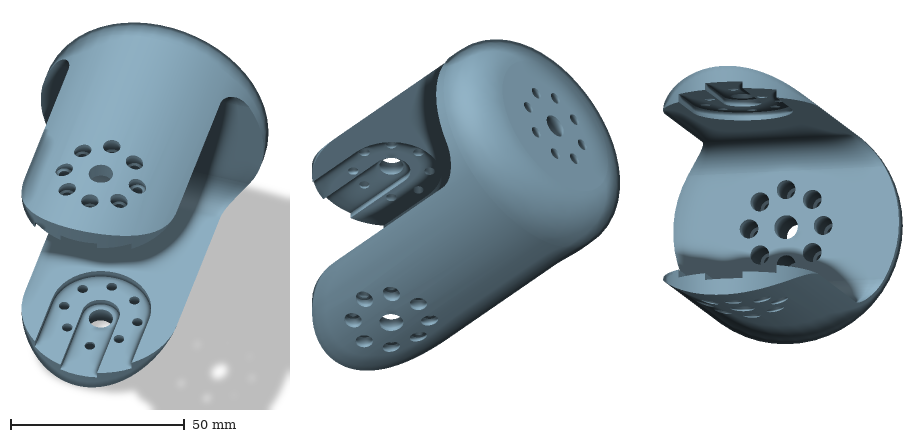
import cadquery as cq
import math

length = 89.3
diameter = 67.0
radius = diameter / 2
dome_fillet = 12.0

gap = 49.0
base_thickness = 15.0
inner_fillet = 8.0

arm_half_width = math.sqrt(radius**2 - (gap / 2) ** 2)
pivot_y = arm_half_width
base_inner_y = length - base_thickness

horn_pocket_diameter = 29.0
horn_pocket_depth = 2.3
hub_pocket_diameter = 11.0
hub_pocket_depth = 2.0
horn_pocket_floor = gap / 2 + horn_pocket_depth
hub_pocket_floor = horn_pocket_floor + hub_pocket_depth

centre_hole_diameter = 7.0
bolt_count = 8
bolt_circle_radius = 11.0

arm_bolt_diameter = 3.0
arm_counterbore_diameter = 5.0
arm_bolt_seat_thickness = 2.7
arm_counterbore_floor = horn_pocket_floor + arm_bolt_seat_thickness
base_bolt_diameter = 3.5
base_counterbore_diameter = 5.5
base_bolt_seat_thickness = 3.0
base_counterbore_depth = base_thickness - base_bolt_seat_thickness


def bolt_positions():
    """Points of the bolt circle around the local origin."""
    step = 2 * math.pi / bolt_count
    return [
        (bolt_circle_radius * math.cos(i * step), bolt_circle_radius * math.sin(i * step))
        for i in range(bolt_count)
    ]


def body():
    """Domed solid cylinder with its axis along Y."""
    cylinder = cq.Workplane("XZ", origin=(0, length, 0)).circle(radius).extrude(length)
    return cylinder.faces(">Y").edges().fillet(dome_fillet)


def arm_gap():
    """Block that separates the arms, rounded where they meet the base."""
    block = cq.Workplane("XY").box(diameter, base_inner_y, gap).translate((0, base_inner_y / 2, 0))
    return block.faces(">Y").edges("|X").fillet(inner_fillet)


def arm_outline():
    """Envelope that rounds the arm ends about the pivot axis."""
    straight = cq.Workplane("XY").box(diameter, length - pivot_y, diameter)
    straight = straight.translate((0, (length + pivot_y) / 2, 0))
    rounded_end = cq.Workplane("XY", origin=(0, pivot_y, -radius)).circle(arm_half_width).extrude(diameter)
    return straight.union(rounded_end)


def open_pocket(pocket_diameter, floor_height):
    """Round-ended cutter spanning the gap, with its ends at +/- floor_height."""
    round_end = (
        cq.Workplane("XY", origin=(0, pivot_y, -floor_height))
        .circle(pocket_diameter / 2)
        .extrude(2 * floor_height)
    )
    channel = cq.Workplane("XY").box(pocket_diameter, pivot_y, 2 * floor_height)
    return round_end.union(channel.translate((0, pivot_y / 2, 0)))


def arm_holes():
    """Pivot hole and counterbored bolt holes through both arms."""
    bottom = cq.Workplane("XY", origin=(0, pivot_y, -radius))
    holes = bottom.circle(centre_hole_diameter / 2).extrude(diameter)
    holes = holes.union(bottom.pushPoints(bolt_positions()).circle(arm_bolt_diameter / 2).extrude(diameter))
    for side in (1, -1):
        floor = cq.Workplane("XY", origin=(0, pivot_y, side * arm_counterbore_floor))
        counterbores = floor.pushPoints(bolt_positions()).circle(arm_counterbore_diameter / 2)
        holes = holes.union(counterbores.extrude(side * (radius - arm_counterbore_floor)))
    return holes


def base_holes():
    """Centre hole and counterbored bolt holes through the base."""
    inner_face = cq.Workplane("XZ", origin=(0, base_inner_y, 0))
    holes = inner_face.circle(centre_hole_diameter / 2).extrude(-base_thickness)
    bolts = inner_face.pushPoints(bolt_positions())
    holes = holes.union(bolts.circle(base_bolt_diameter / 2).extrude(-base_thickness))
    return holes.union(bolts.circle(base_counterbore_diameter / 2).extrude(-base_counterbore_depth))


result = (
    body()
    .cut(arm_gap())
    .intersect(arm_outline())
    .cut(open_pocket(horn_pocket_diameter, horn_pocket_floor))
    .cut(open_pocket(hub_pocket_diameter, hub_pocket_floor))
    .cut(arm_holes())
    .cut(base_holes())
)